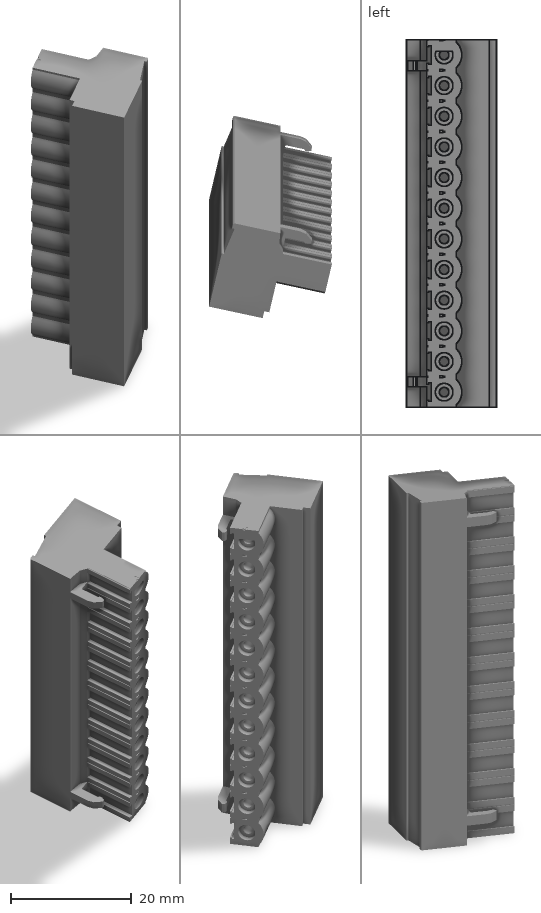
import cadquery as cq
import math

LENGTH = 60.95
POLES = 12
PITCH = LENGTH / POLES

PLUG_DEPTH = 8.3
PLUG_TOP = 11.6
HOUSING_BACK = 18.2
HOUSING_TOP = 15.0
FOOT_X = 9.15
FOOT_HEIGHT = 1.2
BACK_STEP_X = 17.85
BACK_STEP_Y = 9.45
LIP_ROOT_X = 17.05
LIP_X = 17.5
LIP_Y = 14.1
LIP_CHAMFER = 0.2
SHOULDER_X = 9.5
SHOULDER_EDGE_Y = 14.7
SHOULDER_KNEE_X = 9.15
SHOULDER_KNEE_Y = 12.7

CONTACT_Y = 8.7
SLEEVE_RADIUS = 2.9
WEB_BOTTOM = 6.7
BORE_RADIUS = 1.45
BORE_DEPTH = 1.0
PIN_HOLE_RADIUS = 0.8
PIN_HOLE_DEPTH = 4.9
CODING_OFFSET = 0.6

SLOT_MOUTH = 2.7
SLOT_WIDTH = 3.05
SLOT_LIP = 0.3
SLOT_DEPTH = 0.75

JOINT_WIDTH = 0.2
JOINT_DEPTH = 0.2
KEY_TOP = 9.45
KEY_NECK = 8.95
KEY_BOTTOM = 8.65
KEY_WIDTH = 0.35
KEY_STEM = 0.2
KEY_HEAD_DEPTH = 0.2
KEY_STEM_DEPTH = 0.8

LATCH_WIDTH = 1.65
LATCH_INSET = 3.5
LATCH_UNDERSIDE = 13.4
LATCH_RIDGE_X = 6.1
LATCH_BROW_X = 5.05
LATCH_BROW_Y = 14.75
LATCH_NOSE_X = 3.9
LATCH_NOSE_TOP = 13.85
HOOK_BOTTOM = 13.15
HOOK_FRONT_X = 4.4
HOOK_BACK_X = 4.9
HOOK_ROOT_X = 5.1

contact_heights = [(i + 0.5) * PITCH for i in range(POLES)]
joint_heights = [(i + 1) * PITCH for i in range(POLES)]


def box(x_range, y_range, z_range):
    """Axis-aligned box between the given limits."""
    (x0, x1), (y0, y1), (z0, z1) = x_range, y_range, z_range
    return cq.Workplane("XY").box(x1 - x0, y1 - y0, z1 - z0, centered=False).translate((x0, y0, z0))


def rod(radius, depth, z):
    """Cylinder along +X on a contact axis, starting at the plug face."""
    return cq.Workplane("YZ").center(CONTACT_Y, z).circle(radius).extrude(depth)


def make_housing():
    """Clamping body behind the plug, with its foot step, back step and top lip."""
    outline = [
        (PLUG_DEPTH, FOOT_HEIGHT),
        (FOOT_X, FOOT_HEIGHT),
        (FOOT_X, 0),
        (HOUSING_BACK, 0),
        (HOUSING_BACK, BACK_STEP_Y),
        (BACK_STEP_X, BACK_STEP_Y),
        (LIP_ROOT_X, LIP_Y),
        (LIP_X, LIP_Y),
        (LIP_X, HOUSING_TOP - LIP_CHAMFER),
        (LIP_X - LIP_CHAMFER, HOUSING_TOP),
        (SHOULDER_X, HOUSING_TOP),
        (SHOULDER_X, SHOULDER_EDGE_Y),
        (SHOULDER_KNEE_X, SHOULDER_KNEE_Y),
        (PLUG_DEPTH, PLUG_TOP),
    ]
    return cq.Workplane("XY").polyline(outline).close().extrude(LENGTH)


def make_plug():
    """Plug bar with one rounded sleeve under each contact."""
    plug = box((0, PLUG_DEPTH), (WEB_BOTTOM, PLUG_TOP), (0, LENGTH))
    half_chord = math.sqrt(SLEEVE_RADIUS**2 - (CONTACT_Y - WEB_BOTTOM) ** 2)
    for z in contact_heights:
        sleeve = (
            cq.Workplane("YZ")
            .moveTo(WEB_BOTTOM, z - half_chord)
            .threePointArc((CONTACT_Y - SLEEVE_RADIUS, z), (WEB_BOTTOM, z + half_chord))
            .lineTo(CONTACT_Y, z + half_chord)
            .lineTo(CONTACT_Y, z - half_chord)
            .close()
            .extrude(PLUG_DEPTH)
        )
        plug = plug.union(sleeve)
    return plug


def make_latch(z):
    """Snap latch whose lower side is at height z, with the block that carries it."""
    latch = (
        cq.Workplane("XY")
        .moveTo(SHOULDER_X, HOUSING_TOP)
        .lineTo(LATCH_RIDGE_X, HOUSING_TOP)
        .lineTo(LATCH_BROW_X, LATCH_BROW_Y)
        .lineTo(LATCH_NOSE_X, LATCH_NOSE_TOP)
        .lineTo(LATCH_NOSE_X, LATCH_UNDERSIDE)
        .lineTo(HOOK_FRONT_X, HOOK_BOTTOM)
        .lineTo(HOOK_BACK_X, HOOK_BOTTOM)
        .lineTo(HOOK_ROOT_X, LATCH_UNDERSIDE)
        .lineTo(PLUG_DEPTH, LATCH_UNDERSIDE)
        .lineTo(PLUG_DEPTH, PLUG_TOP)
        .lineTo(SHOULDER_X, PLUG_TOP)
        .close()
        .extrude(LATCH_WIDTH)
    )
    return latch.translate((0, 0, z))


def contact_hole(z):
    """Stepped contact hole; the end contact is cut off flat by its coding tab."""
    hole = rod(BORE_RADIUS, BORE_DEPTH, z).union(rod(PIN_HOLE_RADIUS, PIN_HOLE_DEPTH, z))
    if z == contact_heights[-1]:
        tab_bottom = z + CODING_OFFSET
        hole = hole.cut(box((0, PIN_HOLE_DEPTH), (0, PLUG_TOP), (tab_bottom, LENGTH)))
    return hole


def top_slot(z):
    """T-slot in the top of the plug, open at the plug face."""
    mouth = box(
        (0, PLUG_DEPTH),
        (PLUG_TOP - SLOT_DEPTH, PLUG_TOP),
        (z - SLOT_MOUTH / 2, z + SLOT_MOUTH / 2),
    )
    undercut = box(
        (0, PLUG_DEPTH),
        (PLUG_TOP - SLOT_DEPTH, PLUG_TOP - SLOT_LIP),
        (z - SLOT_WIDTH / 2, z + SLOT_WIDTH / 2),
    )
    return mouth.union(undercut)


def joint_marks(z):
    """Fine groove along the plug top and a key-shaped recess in the plug face."""
    groove = box(
        (0, PLUG_DEPTH),
        (PLUG_TOP - JOINT_DEPTH, PLUG_TOP),
        (z - JOINT_WIDTH / 2, z + JOINT_WIDTH / 2),
    )
    key_head = box((0, KEY_HEAD_DEPTH), (KEY_NECK, KEY_TOP), (z - KEY_WIDTH / 2, z + KEY_WIDTH / 2))
    key_stem = box((0, KEY_STEM_DEPTH), (KEY_BOTTOM, KEY_NECK), (z - KEY_STEM / 2, z + KEY_STEM / 2))
    return groove.union(key_head).union(key_stem)


result = make_housing().union(make_plug())
for z in contact_heights:
    result = result.cut(contact_hole(z)).cut(top_slot(z))
for z in joint_heights:
    result = result.cut(joint_marks(z))
for z in (LATCH_INSET, LENGTH - LATCH_INSET - LATCH_WIDTH):
    result = result.union(make_latch(z))